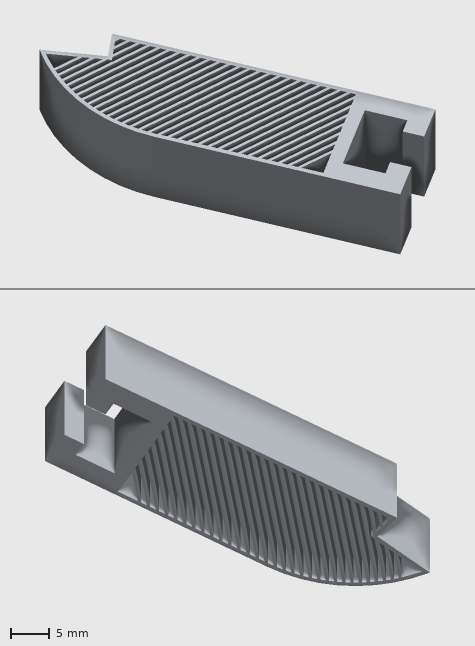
import cadquery as cq
import math

length = 52.8
width = 15.6
height = 12.0

left = -length / 2
right = length / 2
back = width / 2
front = -width / 2

tip_y = 2.25
arc_start_x = -7.45
notch_length = 9.1
notch_tilt = math.radians(10)

wall = 0.6
cavity_end_x = 15.65

fin_count = 31
fin_span = 31.85
fin_pitch = fin_span / (fin_count - 1)
fin_thickness = 0.395
fin_angle = 50.1
first_fin_offset = -17.75

slot_start_x = 17.6
slot_width = 9.7
mouth_width = 5.6
lip_depth = 2.95


nose_run = arc_start_x - left
nose_rise = tip_y - front
nose_radius = (nose_run**2 + nose_rise**2) / (2 * nose_rise)


def nose_outline(end_x, inset=0):
    """Plan outline from the tip to a straight edge at end_x, its other sides moved in by inset."""
    cos_tilt = math.cos(notch_tilt)
    sin_tilt = math.sin(notch_tilt)
    radius = nose_radius - inset
    centre_y = front + nose_radius

    notch_x = left + notch_length * cos_tilt + inset * (cos_tilt + sin_tilt)
    notch_y = tip_y + notch_length * sin_tilt + inset * (sin_tilt - cos_tilt)
    back_corner_x = notch_x - (back - inset - notch_y) * math.tan(notch_tilt)

    face_distance = (notch_x - arc_start_x) * sin_tilt - (notch_y - centre_y) * cos_tilt
    half_chord = math.sqrt(radius**2 - face_distance**2)
    tip = (
        arc_start_x + face_distance * sin_tilt - half_chord * cos_tilt,
        centre_y - face_distance * cos_tilt - half_chord * sin_tilt,
    )

    half_sweep = math.asin((arc_start_x - tip[0]) / radius) / 2
    arc_middle = (
        arc_start_x - radius * math.sin(half_sweep),
        centre_y - radius * math.cos(half_sweep),
    )

    return (
        cq.Workplane("XY")
        .moveTo(*tip)
        .threePointArc(arc_middle, (arc_start_x, front + inset))
        .lineTo(end_x, front + inset)
        .lineTo(end_x, back - inset)
        .lineTo(back_corner_x, back - inset)
        .lineTo(notch_x, notch_y)
        .close()
    )


def make_fin(offset):
    """Upright slanted plate, long enough to cross the whole cavity."""
    plate = cq.Workplane("XY").box(2 * length, fin_thickness, height, centered=(True, True, False))
    return plate.translate((0, -offset, 0)).rotate((0, 0, 0), (0, 0, 1), fin_angle)


def make_cavity():
    """Through cavity one wall thickness inside the nose outline, with the fins left standing."""
    cavity = nose_outline(cavity_end_x, wall).extrude(height)
    for index in range(fin_count):
        cavity = cavity.cut(make_fin(first_fin_offset + index * fin_pitch))
    return cavity


def make_slot():
    """Wide slot behind two lips, with a narrower mouth through the end face."""
    slot_depth = right - lip_depth - slot_start_x
    pocket = cq.Workplane("XY").box(slot_depth, slot_width, height, centered=(False, True, False))
    mouth = cq.Workplane("XY").box(right - slot_start_x, mouth_width, height, centered=(False, True, False))
    return pocket.union(mouth).translate((slot_start_x, 0, 0))


result = nose_outline(right).extrude(height).cut(make_cavity()).cut(make_slot())